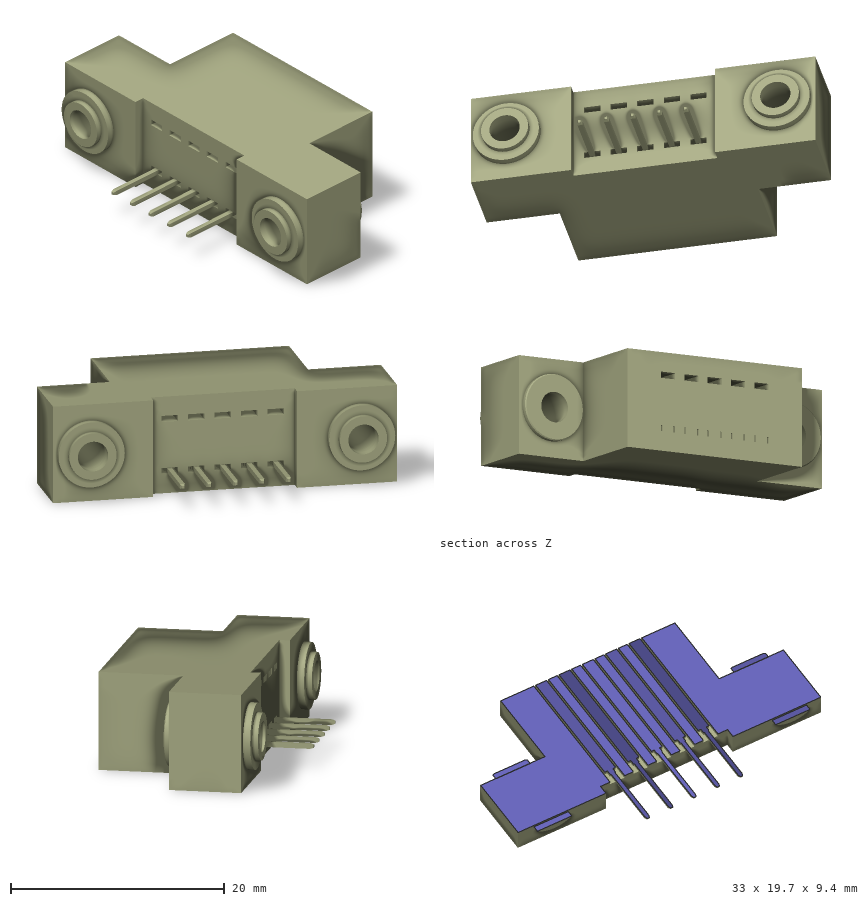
import cadquery as cq


width = 33.02
height = 9.4
ear_front_depth = 15.0
ear_back_depth = 8.1
nose_width = 19.02
recess_width = 13.8
recess_depth = 1.0
recess_face_depth = ear_front_depth - recess_depth

contact_count = 5
pitch = 2.55
row_offset = pitch
slot_width = 1.55
slot_height = 0.6
blade_width = 1.22
blade_inset = 1.32
neck_width = 0.63
neck_inset = 0.83
tail_size = 0.45
tail_end_depth = 19.68
tip_size = 0.25
tip_length = 0.33
blade_end_depth = recess_face_depth - blade_inset
neck_end_depth = recess_face_depth - neck_inset

bushing_spacing = 25.95
bore_diameter = 2.9
sleeve_diameter = 4.52
flange_diameter = 6.35
front_gap = 0.1
front_flange_thickness = 0.7
front_nose_length = 0.55
back_flange_thickness = 0.6
back_flange_chamfer = 0.1

contact_xs = [(i - (contact_count - 1) / 2) * pitch for i in range(contact_count)]
bushing_xs = [-bushing_spacing / 2, bushing_spacing / 2]


def block(x, z, size_x, size_z, depth_start, depth_end):
    """Box centred on (x, z) that spans two depths measured from the mating face."""
    length = depth_end - depth_start
    return cq.Workplane("XY").box(size_x, length, size_z).translate((x, -(depth_start + depth_end) / 2, z))


def disc(x, diameter, depth_start, depth_end):
    """Cylinder along Y at height zero that spans two depths measured from the mating face."""
    return (
        cq.Workplane("XZ", origin=(x, -depth_start, 0))
        .circle(diameter / 2)
        .extrude(depth_end - depth_start)
    )


def make_housing():
    ears = block(0, 0, width, height, ear_back_depth, ear_front_depth)
    nose = block(0, 0, nose_width, height, 0, ear_front_depth)
    body = ears.union(nose)
    body = body.cut(block(0, 0, recess_width, height, recess_face_depth, ear_front_depth))
    for x in contact_xs:
        for z in (-row_offset, row_offset):
            body = body.cut(block(x, z, slot_width, slot_height, 0, recess_face_depth))
    for x in bushing_xs:
        body = body.cut(disc(x, sleeve_diameter, ear_back_depth, ear_front_depth))
    return body


def make_contact(x):
    """Wide blade in the lower slot, stepping down to a neck and a square tail with a tapered tip."""
    blade = block(x, -row_offset, blade_width, slot_height, 0, blade_end_depth)
    neck = block(x, -row_offset, neck_width, slot_height, blade_end_depth, neck_end_depth)
    tip_start_depth = tail_end_depth - tip_length
    tail = block(x, -row_offset, tail_size, tail_size, neck_end_depth, tip_start_depth)
    tip = (
        cq.Workplane("XZ", origin=(x, -tip_start_depth, -row_offset))
        .rect(tail_size, tail_size)
        .workplane(offset=tip_length)
        .rect(tip_size, tip_size)
        .loft()
    )
    return blade.union(neck).union(tail).union(tip)


def make_bushing(x):
    """Sleeve through an ear with a flange on both sides, bored along its whole length."""
    back_end = ear_back_depth - back_flange_thickness
    front_flange_start = ear_front_depth + front_gap
    front_flange_end = front_flange_start + front_flange_thickness
    front_end = front_flange_end + front_nose_length

    back_flange = disc(x, flange_diameter, back_end, ear_back_depth)
    back_flange = back_flange.faces(">Y").edges().chamfer(back_flange_chamfer)
    front_flange = disc(x, flange_diameter, front_flange_start, front_flange_end)
    sleeve = disc(x, sleeve_diameter, back_end, front_end)
    bore = disc(x, bore_diameter, back_end, front_end)
    return sleeve.union(back_flange).union(front_flange).cut(bore)


housing = make_housing()
contacts = [make_contact(x) for x in contact_xs]
bushings = [make_bushing(x) for x in bushing_xs]

result = cq.Compound.makeCompound(
    [housing.val()]
    + [contact.val() for contact in contacts]
    + [bushing.val() for bushing in bushings]
)